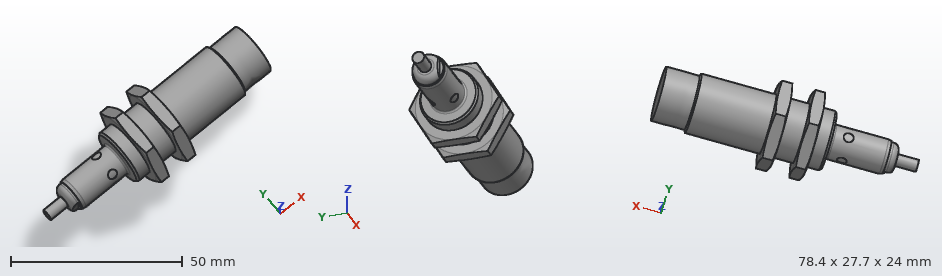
import cadquery as cq
import math

total_length = 78.4

cable_diameter = 3.7
cap_start = 6.4
cap_diameter = 9.4
cap_round = 2.1
cap_flat_offset = 3.6
cap_flat_end = 8.8

sleeve_start = 9.25
sleeve_diameter = 10.5
sleeve_chamfer_length = 1.1
sleeve_chamfer_depth = 0.2
sleeve_root_fillet = 0.55

window_count = 4
window_first_angle = 45.0
window_station = 21.9
window_diameter = 3.0
window_depth = 0.1

barrel_start = 26.6
barrel_end = 67.95
barrel_diameter = 18.0
rear_face_rise = 0.2
rear_chamfer_length = 0.7
rear_chamfer_depth = 0.55

nose_start = 68.4
nose_diameter = 16.45
nose_cone_diameter = 17.7
nose_bulge = 0.04

nut_placements = [(31.4, 3.85), (41.4, 4.0)]
nut_across_flats = 24.0
nut_face_diameter = 23.7
nut_chamfer_length = 0.5

cable_radius = cable_diameter / 2
cap_radius = cap_diameter / 2
sleeve_radius = sleeve_diameter / 2
barrel_radius = barrel_diameter / 2
nose_radius = nose_diameter / 2
nut_across_corners = nut_across_flats / math.cos(math.radians(30))


def make_sensor_blank():
    """Revolve the stepped half profile of the sensor about X."""
    diagonal = math.sqrt(0.5)
    cap_arc_middle = (
        cap_start + cap_round * (1 - diagonal),
        cap_radius - cap_round * (1 - diagonal),
    )
    fillet_arc_middle = (
        barrel_start - sleeve_root_fillet * (1 - diagonal),
        sleeve_radius + sleeve_root_fillet * (1 - diagonal),
    )
    nose_arc_middle = ((nose_start + total_length) / 2, nose_radius + nose_bulge)
    rear_rim = barrel_start + rear_face_rise
    profile = (
        cq.Workplane("XY")
        .lineTo(0, cable_radius)
        .lineTo(cap_start, cable_radius)
        .lineTo(cap_start, cap_radius - cap_round)
        .threePointArc(cap_arc_middle, (cap_start + cap_round, cap_radius))
        .lineTo(sleeve_start, cap_radius)
        .lineTo(sleeve_start, sleeve_radius - sleeve_chamfer_depth)
        .lineTo(sleeve_start + sleeve_chamfer_length, sleeve_radius)
        .lineTo(barrel_start - sleeve_root_fillet, sleeve_radius)
        .threePointArc(fillet_arc_middle, (barrel_start, sleeve_radius + sleeve_root_fillet))
        .lineTo(rear_rim, barrel_radius - rear_chamfer_depth)
        .lineTo(rear_rim + rear_chamfer_length, barrel_radius)
        .lineTo(barrel_end, barrel_radius)
        .lineTo(barrel_end, nose_cone_diameter / 2)
        .lineTo(nose_start, nose_radius)
        .threePointArc(nose_arc_middle, (total_length, nose_radius))
        .lineTo(total_length, 0)
        .close()
    )
    return profile.revolve(360, (0, 0, 0), (1, 0, 0))


def make_cap_flat_cutter():
    """Block that shaves a flat on the -Y side of the cap."""
    return cq.Workplane("XY").box(
        cap_flat_end - cap_start, cap_radius, cap_diameter, centered=(False, False, True)
    ).translate((cap_start, -cap_flat_offset - cap_radius, 0))


def make_window_cutter(angle):
    """Round cutter whose curved floor follows the sleeve surface."""
    floor = cq.Workplane("YZ").workplane(offset=sleeve_start).circle(sleeve_radius - window_depth)
    core = floor.extrude(barrel_start - sleeve_start)
    pin = (
        cq.Workplane("XY")
        .center(window_station, 0)
        .circle(window_diameter / 2)
        .extrude(sleeve_diameter)
    )
    return pin.cut(core).rotate((0, 0, 0), (1, 0, 0), angle)


def make_sensor():
    sensor = make_sensor_blank().cut(make_cap_flat_cutter())
    for index in range(window_count):
        angle = window_first_angle + index * 360 / window_count
        sensor = sensor.cut(make_window_cutter(angle))
    return sensor


def make_nut(station, thickness):
    """Hexagonal nut with its corners on the Y axis and both faces chamfered."""
    hexagon = cq.Workplane("YZ").polygon(6, nut_across_corners).extrude(thickness)
    face_radius = nut_face_diameter / 2
    corner_radius = nut_across_corners / 2
    chamfer_envelope = (
        cq.Workplane("XY")
        .lineTo(0, face_radius)
        .lineTo(nut_chamfer_length, corner_radius)
        .lineTo(thickness - nut_chamfer_length, corner_radius)
        .lineTo(thickness, face_radius)
        .lineTo(thickness, 0)
        .close()
        .revolve(360, (0, 0, 0), (1, 0, 0))
    )
    bore = cq.Workplane("YZ").circle(barrel_radius).extrude(thickness)
    return hexagon.intersect(chamfer_envelope).cut(bore).translate((station, 0, 0))


sensor = make_sensor()
nuts = [make_nut(station, thickness) for station, thickness in nut_placements]

result = cq.Compound.makeCompound([sensor.val(), *[nut.val() for nut in nuts]])